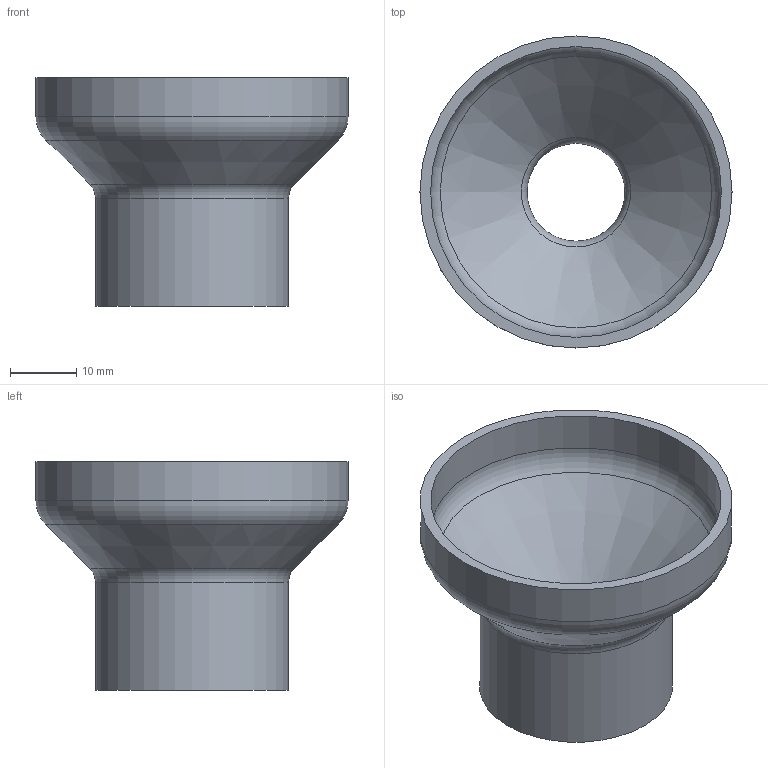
import cadquery as cq
import math

rim_outer_diameter = 47.2
rim_inner_diameter = 44.0
stem_diameter = 29.2
bore_diameter = 14.8

total_height = 34.6
rim_height = 8.0

cone_angle = math.radians(45)
shoulder_fillet = 5.0
neck_fillet = 3.0

rim_base_z = total_height - rim_height


def cone_end_z(upper_radius, lower_radius):
    """Height where a cone starting at the base of the rim reaches its lower radius."""
    return rim_base_z - (upper_radius - lower_radius) * math.tan(cone_angle)


def funnel_profile(upper_diameter, lower_diameter):
    """Half section: lower cylinder, neck round, cone, shoulder round, upper cylinder."""
    upper_radius = upper_diameter / 2
    lower_radius = lower_diameter / 2
    neck_z = cone_end_z(upper_radius, lower_radius)

    neck_tangent = neck_fillet * math.tan(cone_angle / 2)
    shoulder_tangent = shoulder_fillet * math.tan(cone_angle / 2)
    cone_dr = math.sin(cone_angle)
    cone_dz = math.cos(cone_angle)

    neck_start = (lower_radius, neck_z - neck_tangent)
    neck_end = (lower_radius + neck_tangent * cone_dr, neck_z + neck_tangent * cone_dz)
    shoulder_start = (
        upper_radius - shoulder_tangent * cone_dr,
        rim_base_z - shoulder_tangent * cone_dz,
    )
    shoulder_end = (upper_radius, rim_base_z + shoulder_tangent)

    return (
        cq.Workplane("XZ")
        .lineTo(lower_radius, 0)
        .lineTo(*neck_start)
        .tangentArcPoint(neck_end, relative=False)
        .lineTo(*shoulder_start)
        .tangentArcPoint(shoulder_end, relative=False)
        .lineTo(upper_radius, total_height)
        .lineTo(0, total_height)
        .close()
    )


def revolved_funnel(upper_diameter, lower_diameter):
    """Solid of revolution about the Z axis."""
    profile = funnel_profile(upper_diameter, lower_diameter)
    return profile.revolve(360, (0, 0, 0), (0, 1, 0))


outer_body = revolved_funnel(rim_outer_diameter, stem_diameter)
inner_cavity = revolved_funnel(rim_inner_diameter, bore_diameter)

result = outer_body.cut(inner_cavity)